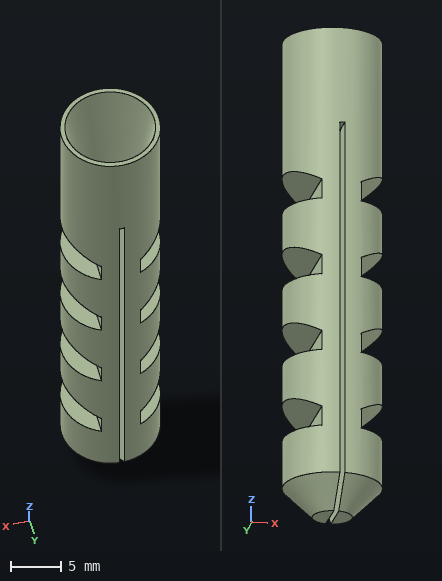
import cadquery as cq
import math

LENGTH = 50.0
RADIUS = 5.0
TIP_RADIUS = 2.0
TIP_HEIGHT = 3.0

WALL_AT_TOP = 0.5
BORE_RADIUS = RADIUS - WALL_AT_TOP
BORE_FLOOR_RADIUS = 0.5
BORE_DEPTH = 23.0

SLIT_WIDTH = 0.5
SLIT_HEIGHT = 40.0

NOTCH_COUNT = 4
NOTCH_PITCH = 8.0
FIRST_NOTCH_Z = 8.0
NOTCH_FLAT_X = 2.0
NOTCH_FLAT_HEIGHT = 2.0
NOTCH_ROOF_ANGLE = 30.0


def make_body():
    """Round plug with a tapered tip and a conical bore."""
    profile = [
        (0, 0),
        (TIP_RADIUS, 0),
        (RADIUS, TIP_HEIGHT),
        (RADIUS, LENGTH),
        (BORE_RADIUS, LENGTH),
        (BORE_FLOOR_RADIUS, LENGTH - BORE_DEPTH),
        (0, LENGTH - BORE_DEPTH),
    ]
    return cq.Workplane("XZ").polyline(profile).close().revolve(360, (0, 0), (0, 1))


def make_slit():
    """Thin slab that splits the plug into two legs."""
    return cq.Workplane("XY").box(SLIT_WIDTH, 2 * RADIUS, SLIT_HEIGHT, centered=(True, True, False))


def make_notch(side, floor_z):
    """Notch with a level floor, an upright back and a sloping roof; side is +1 or -1."""
    flat_top_z = floor_z + NOTCH_FLAT_HEIGHT
    roof_rise = (RADIUS - NOTCH_FLAT_X) * math.tan(math.radians(NOTCH_ROOF_ANGLE))
    profile = [
        (side * NOTCH_FLAT_X, floor_z),
        (side * RADIUS, floor_z),
        (side * RADIUS, flat_top_z + roof_rise),
        (side * NOTCH_FLAT_X, flat_top_z),
    ]
    return cq.Workplane("XZ").polyline(profile).close().extrude(RADIUS, both=True)


result = make_body().cut(make_slit())
for index in range(NOTCH_COUNT):
    for side in (-1, 1):
        result = result.cut(make_notch(side, FIRST_NOTCH_Z + index * NOTCH_PITCH))